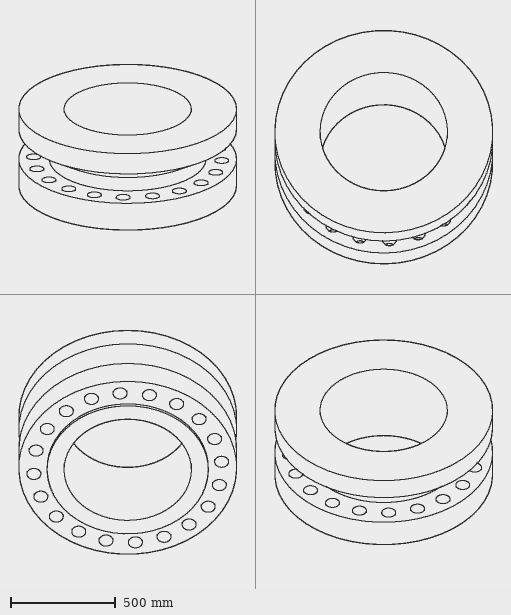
import cadquery as cq

outer_diameter = 1041.0
total_height = 416.0

bore_diameter = 608.0
neck_diameter = 750.0
raised_face_diameter = 770.0

raised_face_height = 16.0
flange_thickness = 141.0
neck_height = 70.0
rim_height = 106.0

bolt_count = 20
bolt_hole_diameter = 67.0
bolt_circle_diameter = 900.0
bolt_start_angle = 0.0

flange_bottom = raised_face_height
flange_top = flange_bottom + flange_thickness
neck_top = flange_top + neck_height
rim_bottom = total_height - rim_height


def turned_body():
    """Revolve the half section: raised face, flange, neck, cone and upper rim."""
    outer_radius = outer_diameter / 2
    bore_radius = bore_diameter / 2
    neck_radius = neck_diameter / 2
    raised_face_radius = raised_face_diameter / 2
    half_section = [
        (bore_radius, 0),
        (raised_face_radius, 0),
        (raised_face_radius, flange_bottom),
        (outer_radius, flange_bottom),
        (outer_radius, flange_top),
        (neck_radius, flange_top),
        (neck_radius, neck_top),
        (outer_radius, rim_bottom),
        (outer_radius, total_height),
        (bore_radius, total_height),
    ]
    return cq.Workplane("XZ").polyline(half_section).close().revolve(360, (0, 0, 0), (0, 1, 0))


def bolt_holes():
    """Cylinders that pass through the lower flange only."""
    return (
        cq.Workplane("XY")
        .workplane(offset=flange_bottom)
        .polarArray(bolt_circle_diameter / 2, bolt_start_angle, 360, bolt_count)
        .circle(bolt_hole_diameter / 2)
        .extrude(flange_thickness)
    )


result = turned_body().cut(bolt_holes())